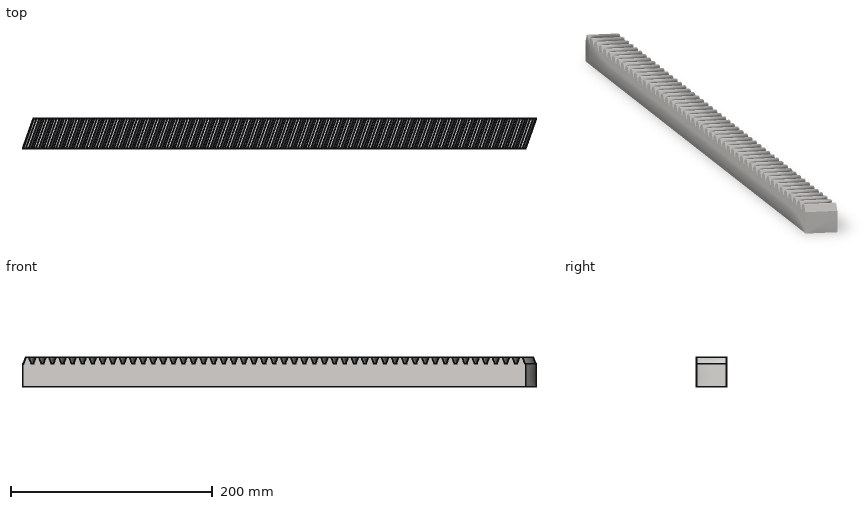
import cadquery as cq
import math

LENGTH = 510.0
WIDTH = 30.0
HEIGHT = 29.5

TOOTH_COUNT = 50
HELIX_ANGLE = math.radians(19.5)
PRESSURE_ANGLE = math.radians(20.0)
TOOTH_DEPTH = 6.5
ROOT_WIDTH = 2.0
END_TRIM = 0.35

lean = WIDTH * math.tan(HELIX_ANGLE)
bar_length = LENGTH - lean
pitch = (bar_length + 2 * END_TRIM) / TOOTH_COUNT

root_z = HEIGHT - TOOTH_DEPTH
half_root = ROOT_WIDTH / 2
half_mouth = half_root + TOOTH_DEPTH * math.tan(PRESSURE_ANGLE) / math.cos(HELIX_ANGLE)


def rack_outline():
    """Rack section at the front face, with a partial tooth gap at each end."""
    points = [(bar_length, 0), (0, 0), (0, root_z)]
    for tooth in range(TOOTH_COUNT):
        gap_before = tooth * pitch - END_TRIM
        gap_after = gap_before + pitch
        points.append((gap_before + half_root, root_z))
        points.append((gap_before + half_mouth, HEIGHT))
        points.append((gap_after - half_mouth, HEIGHT))
        points.append((gap_after - half_root, root_z))
    points.append((bar_length, root_z))
    return points


def section_wire(x_offset, y):
    """Rack section shifted along X, standing in the plane at the given Y."""
    return cq.Wire.makePolygon([cq.Vector(x + x_offset, y, z) for x, z in rack_outline()], close=True)


result = cq.Workplane(
    cq.Solid.makeLoft([section_wire(0, 0), section_wire(lean, WIDTH)], True)
)